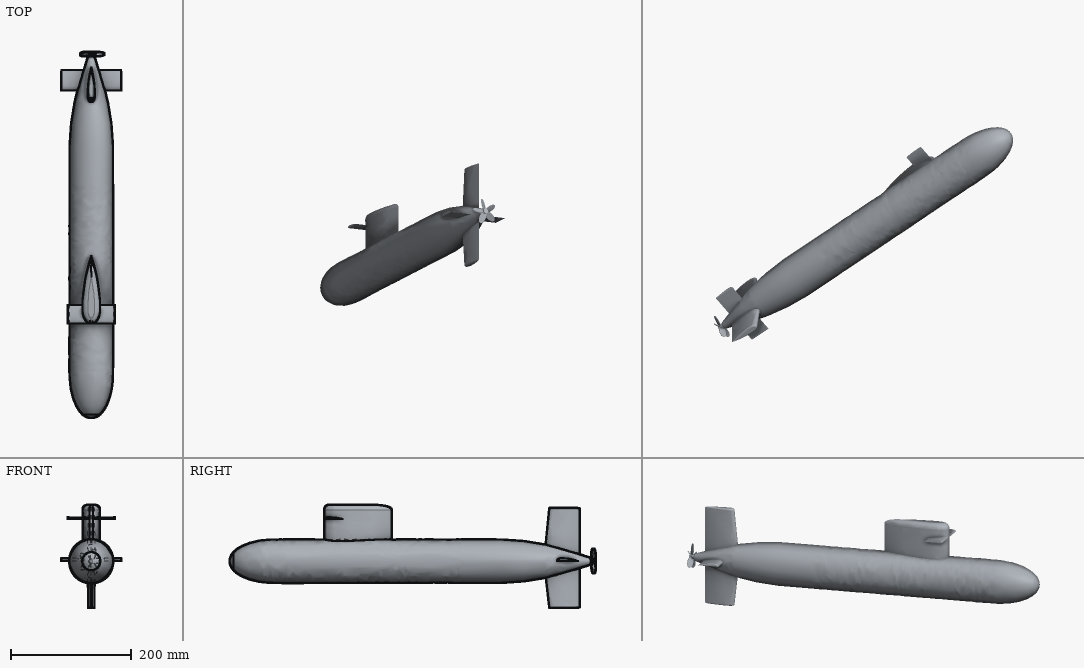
import cadquery as cq
import math

OVERALL_LENGTH = 608.36
SAIL_TOP = 94.02
KEEL_DEPTH = 78.0

NOSE_STEPS = 5
FOIL_TAIL_STEPS = 5
STRAIGHT_STEPS = 6

HULL_LENGTH = 600.0
HULL_RADIUS = 36.5
NOSE_LENGTH = 75.0
NOSE_TIP_RADIUS = 2.2
NOSE_CAP_RADIUS = 15.0
TAIL_LENGTH = 152.0
TAIL_END_RADIUS = 5.8
TAIL_END_FILLET = 3.5
TAIL_CURVE = [(120.0, 34.6), (95.0, 31.5), (57.0, 23.2), (25.0, 13.3)]

FOIL_NOSE_FRACTION = 0.215
FOIL_FRONT_FACE_FRACTION = 0.18

SAIL_NOSE_Y = 157.0
SAIL_CHORD = 112.5
SAIL_THICKNESS = 29.5
SAIL_TOP_FILLET = 9.0
SAIL_PLANE_CHORD = 31.0
SAIL_PLANE_THICKNESS = 3.2
SAIL_PLANE_HALF_SPAN = 39.2
SAIL_PLANE_Z = 69.8

TAIL_PLANE_NOSE_Y = 543.5
TAIL_PLANE_CHORD = 34.5
TAIL_PLANE_THICKNESS = 5.0
TAIL_PLANE_HALF_SPAN = 50.0
TAIL_PLANE_Z = 0.0
TAIL_PLANE_TIP_FILLET = 1.2

RUDDER_TAIL_Y = 581.6
RUDDER_ROOT_CHORD = 60.0
RUDDER_ROOT_THICKNESS = 12.8
RUDDER_TIP_CHORD = 51.0
RUDDER_TIP_THICKNESS = 11.4
RUDDER_TIP_FILLET = 2.5
UPPER_RUDDER_TIP = 89.0

BLADE_COUNT = 5
BLADE_TIP_RADIUS = 22.0
BLADE_WIDTH = 11.0
BLADE_THICKNESS = 1.2
BLADE_PITCH = 40.0
FIRST_BLADE_ANGLE = 15.0
HUB_RADIUS = 3.8


def ellipse_depth(length, radius, x):
    """Distance behind the tip of a half ellipse at which its half width is x."""
    return length * (1 - math.sqrt(1 - (x / radius) ** 2))


def nose_curve(length, radius, start_x):
    """Points (half width, distance back) of an elliptic nose cut off where its half width is start_x."""
    start = math.asin(start_x / radius)
    angles = [start + (math.pi / 2 - start) * i / NOSE_STEPS for i in range(NOSE_STEPS + 1)]
    cut_off = ellipse_depth(length, radius, start_x)
    return [(radius * math.sin(a), length * (1 - math.cos(a)) - cut_off) for a in angles]


def foil_side(chord, half_thickness, front_half_width):
    """Points (half width, distance back) of a foil side: elliptic nose, then a parabola to a sharp tail."""
    points = nose_curve(FOIL_NOSE_FRACTION * chord, half_thickness, front_half_width)
    nose_end = points[-1][1]
    for i in range(1, FOIL_TAIL_STEPS + 1):
        along = i / FOIL_TAIL_STEPS
        points.append((half_thickness * (1 - along**2), nose_end + along * (chord - nose_end)))
    return points


def symmetric_foil(z, nose_y, chord, thickness):
    """Horizontal foil outline at height z, with a narrow flat front face and a sharp trailing edge."""
    front_half_width = FOIL_FRONT_FACE_FRACTION * thickness / 2
    right = [(x, nose_y + y) for x, y in foil_side(chord, thickness / 2, front_half_width)]
    left = [(-x, y) for x, y in reversed(right)]
    return (
        cq.Workplane("XY", (0, 0, z))
        .moveTo(*right[0])
        .spline(right[1:], includeCurrent=True)
        .spline(left[1:], includeCurrent=True)
        .close()
    )


def side_planes(nose_y, chord, thickness, half_span, bottom_z, tip_fillet=0):
    """Left and right planes with a flat underside, reaching from X = 0 out to the half span."""
    top = [(nose_y + y, bottom_z + height) for height, y in foil_side(chord, thickness, 0)]
    right = cq.Workplane("YZ").moveTo(*top[0]).spline(top[1:], includeCurrent=True).close().extrude(half_span)
    if tip_fillet:
        right = right.faces(">X").edges().fillet(tip_fillet)
    return [right.mirror("YZ"), right]


def hull_and_cap():
    """Body of revolution, split near the front into the hull and the nose cap."""
    outline = nose_curve(NOSE_LENGTH, HULL_RADIUS, NOSE_TIP_RADIUS)
    straight_start = outline[-1][1]
    straight_length = HULL_LENGTH - TAIL_LENGTH - straight_start
    for i in range(1, STRAIGHT_STEPS + 1):
        outline.append((HULL_RADIUS, straight_start + straight_length * i / STRAIGHT_STEPS))
    outline += [(radius, HULL_LENGTH - distance) for distance, radius in TAIL_CURVE]
    outline.append((TAIL_END_RADIUS, HULL_LENGTH))
    whole = (
        cq.Workplane("XY")
        .lineTo(*outline[0])
        .spline(outline[1:], includeCurrent=True)
        .lineTo(0, HULL_LENGTH)
        .close()
        .revolve(360, (0, 0, 0), (0, 1, 0))
        .faces(">Y")
        .edges()
        .fillet(TAIL_END_FILLET)
    )
    tip_cut = ellipse_depth(NOSE_LENGTH, HULL_RADIUS, NOSE_TIP_RADIUS)
    cap_length = ellipse_depth(NOSE_LENGTH, HULL_RADIUS, NOSE_CAP_RADIUS) - tip_cut
    front = cq.Workplane("XZ").circle(HULL_RADIUS).extrude(-cap_length)
    return whole.cut(front), whole.intersect(front)


def make_sail(hull):
    """Upright foil standing on the hull, with a rounded top edge."""
    sail = symmetric_foil(0, SAIL_NOSE_Y, SAIL_CHORD, SAIL_THICKNESS).extrude(SAIL_TOP)
    return sail.faces(">Z").edges().fillet(SAIL_TOP_FILLET).cut(hull)


def make_rudder(hull, tip_z):
    """Rudder tapering from the hull axis to its tip, with a straight trailing edge."""
    outlines = [
        symmetric_foil(z, RUDDER_TAIL_Y - chord, chord, thickness)
        for z, chord, thickness in (
            (0, RUDDER_ROOT_CHORD, RUDDER_ROOT_THICKNESS),
            (tip_z, RUDDER_TIP_CHORD, RUDDER_TIP_THICKNESS),
        )
    ]
    rudder = cq.Workplane(cq.Solid.makeLoft([outline.val() for outline in outlines], True))
    tip_face = ">Z" if tip_z > 0 else "<Z"
    return rudder.faces(tip_face).edges().fillet(RUDDER_TIP_FILLET).cut(hull)


def make_propeller():
    """Hub and pitched oval blades around the hull axis, behind the tail end."""
    hub_length = OVERALL_LENGTH - HULL_LENGTH
    propeller = cq.Workplane("XZ", (0, OVERALL_LENGTH, 0)).circle(HUB_RADIUS).extrude(hub_length)
    middle_y = HULL_LENGTH + hub_length / 2
    blade = (
        cq.Workplane("XZ")
        .center(0, BLADE_TIP_RADIUS / 2)
        .ellipse(BLADE_WIDTH / 2, BLADE_TIP_RADIUS / 2)
        .extrude(BLADE_THICKNESS / 2, both=True)
        .rotate((0, 0, 0), (0, 0, 1), BLADE_PITCH)
        .translate((0, middle_y, 0))
    )
    for i in range(BLADE_COUNT):
        angle = FIRST_BLADE_ANGLE + 360 / BLADE_COUNT * i
        propeller = propeller.union(blade.rotate((0, 0, 0), (0, 1, 0), angle))
    return propeller


hull, nose_cap = hull_and_cap()
sail = make_sail(hull)
sail_planes = [
    plane.cut(sail)
    for plane in side_planes(
        SAIL_NOSE_Y,
        SAIL_PLANE_CHORD,
        SAIL_PLANE_THICKNESS,
        SAIL_PLANE_HALF_SPAN,
        SAIL_PLANE_Z,
    )
]
tail_planes = [
    plane.cut(hull)
    for plane in side_planes(
        TAIL_PLANE_NOSE_Y,
        TAIL_PLANE_CHORD,
        TAIL_PLANE_THICKNESS,
        TAIL_PLANE_HALF_SPAN,
        TAIL_PLANE_Z,
        TAIL_PLANE_TIP_FILLET,
    )
]
rudders = [make_rudder(hull, tip_z) for tip_z in (UPPER_RUDDER_TIP, -KEEL_DEPTH)]
propeller = make_propeller()
bodies = [hull, nose_cap, sail, *sail_planes, *tail_planes, *rudders, propeller]
result = cq.Compound.makeCompound([body.solids().val() for body in bodies])